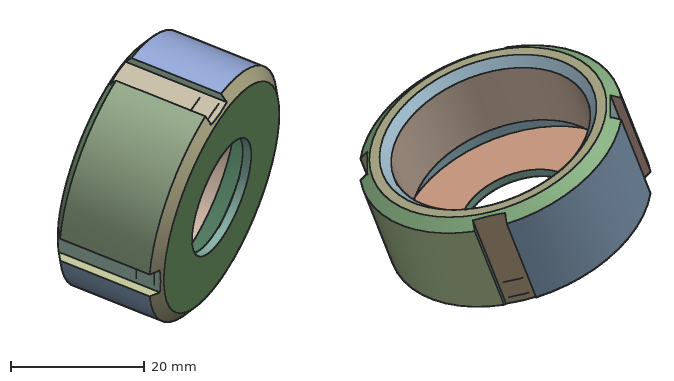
import cadquery as cq

width = 18.0
outer_radius = 20.6
end_face_radius = 18.6
outer_chamfer_length = 1.45

bore_radius = 15.6
bore_chamfer = 1.4
bore_depth = 12.15
undercut_radius = 18.95
undercut_flank_length = 1.4
floor_thickness = 1.45
through_radius = 9.5

slot_width = 5.02
slot_floor_radius = 19.05
slot_count = 4

open_face = -width / 2
closed_face = width / 2
bore_end = open_face + bore_depth
bore_floor = closed_face - floor_thickness


def ring_body():
    """Revolve the half section (axial position, radius) about the X axis."""
    section = [
        (open_face, bore_radius + bore_chamfer),
        (open_face, end_face_radius),
        (open_face + outer_chamfer_length, outer_radius),
        (closed_face - outer_chamfer_length, outer_radius),
        (closed_face, end_face_radius),
        (closed_face, through_radius),
        (bore_floor, through_radius),
        (bore_floor, undercut_radius),
        (bore_end + undercut_flank_length, undercut_radius),
        (bore_end, bore_radius),
        (open_face + bore_chamfer, bore_radius),
    ]
    return cq.Workplane("XY").polyline(section).close().revolve(360, (0, 0, 0), (1, 0, 0))


def spanner_slot(angle):
    """Flat-floored slot along the full width, turned about X from the +Z side."""
    cutter_height = outer_radius
    slot = cq.Workplane("XY").box(width, slot_width, cutter_height, centered=(True, True, False))
    return slot.translate((0, 0, slot_floor_radius)).rotate((0, 0, 0), (1, 0, 0), angle)


result = ring_body()
for index in range(slot_count):
    result = result.cut(spanner_slot(index * 360 / slot_count))